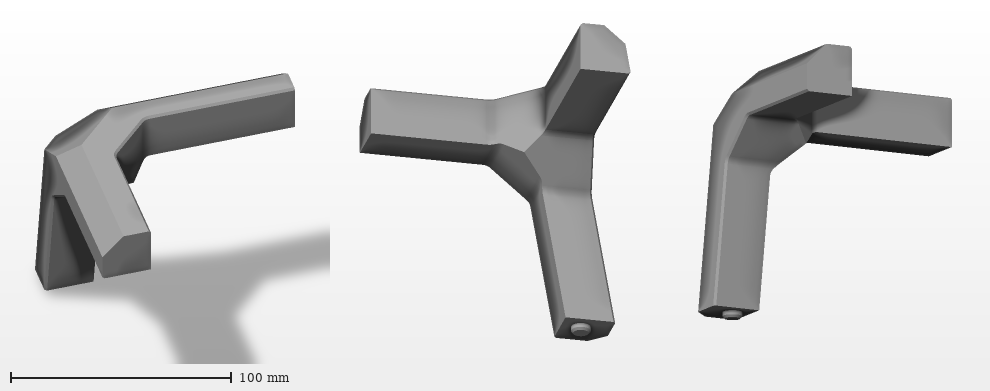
import cadquery as cq
import math

overall_x = 114.0
overall_y = 114.0
leg_drop = 105.0
lean_angle = 10.0
lean = math.tan(math.radians(lean_angle))
lean_sin = math.sin(math.radians(lean_angle))
lean_cos = math.cos(math.radians(lean_angle))
foot_x = -leg_drop * lean
x_arm_end = overall_x + foot_x
tip_length = 30.0

arm_depth = 22.9
x_arm_width = 23.0
y_arm_width = 19.5
leg_width_x = 23.4
leg_width_y = 23.0

x_edge_bevel = 10.0
y_edge_bevel = 8.4
leg_edge_bevel = 7.5
corner_reach = 39.1
corner_slope = 1.68

front_gusset = 16.9
top_gusset = 20.0
left_gusset = 20.2
gusset_radius = 5.0

rim_bevel = 1.0

pin_radius = 4.6
pin_height = 3.0
pin_bevel = 1.0
pin_inset = 14.1

clear = 171.0
touching = 0.001
left_side = cq.selectors.DirectionMinMaxSelector(cq.Vector(-lean_cos, 0, lean_sin))


def edge_wedges():
    """Triangular prisms that bevel the three outer edges, with equal legs on both faces."""
    x_wedge = (
        cq.Workplane("YZ").polyline([(0, 0), (x_edge_bevel, 0), (0, -x_edge_bevel)]).close()
        .extrude(clear, both=True)
    )
    down_slope = (-y_edge_bevel * lean_sin, -y_edge_bevel * lean_cos)
    y_wedge = (
        cq.Workplane("XZ").polyline([(0, 0), (y_edge_bevel, 0), down_slope]).close()
        .extrude(clear, both=True)
    )
    leg_axis = cq.Plane(origin=(0, 0, 0), xDir=(0, 1, 0), normal=(-lean_sin, 0, -lean_cos))
    leg_wedge = (
        cq.Workplane(leg_axis).polyline([(0, 0), (leg_edge_bevel, 0), (0, leg_edge_bevel)]).close()
        .extrude(clear, both=True)
    )
    return x_wedge, y_wedge, leg_wedge


def outer_block():
    """Solid behind the three outer faces, with their three outer edges bevelled and the corner cut flat."""
    side = [(0, 0), (x_arm_end, 0), (x_arm_end, -leg_drop), (foot_x, -leg_drop)]
    block = cq.Workplane("XZ").polyline(side).close().extrude(-overall_y)
    for wedge in edge_wedges():
        block = block.cut(wedge)
    flat = cq.Plane(origin=(corner_reach, 0, 0), xDir=(1, -1, 0), normal=(-1, -1, corner_slope))
    return block.cut(cq.Workplane(flat).rect(2 * clear, 2 * clear).extrude(clear))


def opening(outer_face, through, corner, along_a, along_b, gusset):
    """Cutter for the space between two arms, running from the outer face in direction `through`.

    `corner` is where the inner sides of the arms would meet without a gusset, `along_a` and `along_b`
    are the arm directions; all are 2D and measured in `outer_face`.
    """
    def at(a, b):
        return (corner[0] + a * along_a[0] + b * along_b[0], corner[1] + a * along_a[1] + b * along_b[1])

    outline = [at(gusset, 0), at(clear, 0), at(clear, clear), at(0, clear), at(0, gusset), at(gusset, 0)]
    sketch = cq.Sketch().polygon(outline).vertices().fillet(gusset_radius).reset()
    mouth = sketch.faces().val().moved(outer_face.location)
    return cq.Solid.extrudeLinear(mouth, cq.Vector(*through) * clear)


def front_opening():
    face = cq.Plane(origin=(0, 0, 0), xDir=(1, 0, 0), normal=(0, -1, 0))
    corner = (leg_width_x - arm_depth * lean, -arm_depth)
    return opening(face, (0, 1, 0), corner, (1, 0), (-lean_sin, -lean_cos), front_gusset)


def top_opening():
    face = cq.Plane(origin=(0, 0, 0), xDir=(1, 0, 0), normal=(0, 0, 1))
    return opening(face, (0, 0, -1), (y_arm_width, x_arm_width), (1, 0), (0, 1), top_gusset)


def left_opening():
    face = cq.Plane(origin=(0, 0, 0), xDir=(0, -1, 0), normal=(-lean_cos, 0, lean_sin))
    corner = (-leg_width_y, -arm_depth / lean_cos)
    return opening(face, (1, 0, 0), corner, (-1, 0), (0, -1), left_gusset)


def make_pin():
    """Upright locating pin under the foot of the leg, bevelled at its tip."""
    centre = (foot_x + pin_inset, pin_inset)
    pin = (
        cq.Workplane("XY", origin=(0, 0, -leg_drop)).center(*centre)
        .circle(pin_radius).extrude(-pin_height)
    )
    return pin.faces("<Z").chamfer(pin_bevel)


def rim_edges(face, cutter):
    """Edges of an outer face that the cutter made."""
    return [
        edge for edge in face.edges().vals()
        if cutter.distance(cq.Vertex.makeVertex(*edge.positionAt(0.5).toTuple())) < touching
    ]


def make_frame():
    """The whole three-armed shape, with the openings between the arms and their bevelled rims."""
    openings = {"<Y": front_opening(), ">Z": top_opening(), left_side: left_opening()}
    frame = outer_block()
    for cutter in openings.values():
        frame = frame.cut(cq.Workplane(cutter))
    for outer_side, cutter in openings.items():
        rim = rim_edges(frame.faces(outer_side), cutter)
        frame = frame.newObject(rim).chamfer(rim_bevel)
    return frame


def end_box(direction):
    """Block enclosing the last `tip_length` of the X arm or the Y arm."""
    if direction == "X":
        start = (x_arm_end - tip_length, -clear / 2, -clear / 2)
    else:
        start = (-clear / 2, overall_y - tip_length, -clear / 2)
    return cq.Workplane("XY").box(clear, clear, clear, centered=False).translate(start)


frame = make_frame()
tips = [frame.intersect(end_box(direction)) for direction in ("X", "Y")]
corner_frame = frame.cut(end_box("X")).cut(end_box("Y")).union(make_pin())

result = cq.Compound.makeCompound([corner_frame.val(), *[tip.val() for tip in tips]])